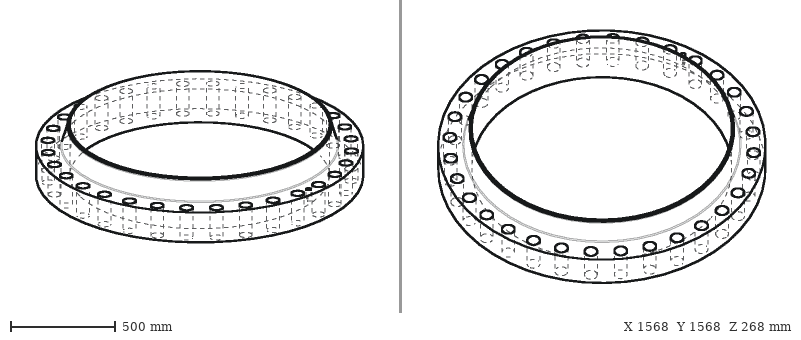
import cadquery as cq
import math

flange_diameter = 1568.0
flange_radius = flange_diameter / 2
flange_thickness = 157.0
total_height = 268.0
bore_radius = 622.0

hub_base_radius = 662.0
hub_top_radius = 633.0
rim_width = 3.0
bevel_height = 5.0
collar_height = 10.0
hub_fillet_radius = 6.0

bolt_count = 32
bolt_circle_radius = 729.0
bolt_hole_diameter = 61.0

small_hole_diameter = 24.0
small_hole_depth = 47.0
pilot_diameter = 13.0
pilot_depth = 63.0
small_hole_step = 0.5


def on_bolt_circle(steps):
    """Point on the bolt circle, counted in bolt spacings from +X."""
    angle = 2 * math.pi * steps / bolt_count
    return bolt_circle_radius * math.cos(angle), bolt_circle_radius * math.sin(angle)


def make_body():
    """Revolve the flange and hub section about Z."""
    section = (
        cq.Workplane("XZ")
        .moveTo(bore_radius, 0)
        .lineTo(flange_radius, 0)
        .lineTo(flange_radius, flange_thickness)
        .lineTo(hub_base_radius, flange_thickness)
        .lineTo(hub_top_radius, total_height - bevel_height - collar_height)
        .lineTo(hub_top_radius, total_height - bevel_height)
        .lineTo(bore_radius + rim_width, total_height)
        .lineTo(bore_radius, total_height)
        .close()
    )
    return section.revolve(360, (0, 0, 0), (0, 1, 0))


def fillet_hub_base(body):
    """Round the inner corner where the hub meets the flange face."""
    face_edges = body.faces("|Z").edges(cq.selectors.CenterNthSelector(cq.Vector(0, 0, 1), 1))
    corner = face_edges.edges(cq.selectors.RadiusNthSelector(0))
    return corner.fillet(hub_fillet_radius)


def make_holes(points, diameter, depth):
    """Cylinders that go down from the flange face at the given points."""
    face = cq.Workplane("XY").workplane(offset=flange_thickness)
    return face.pushPoints(points).circle(diameter / 2).extrude(-depth)


bolt_points = [on_bolt_circle(step) for step in range(bolt_count)]
small_hole_point = on_bolt_circle(small_hole_step)

result = (
    fillet_hub_base(make_body())
    .cut(make_holes(bolt_points, bolt_hole_diameter, flange_thickness))
    .cut(make_holes([small_hole_point], small_hole_diameter, small_hole_depth))
    .cut(make_holes([small_hole_point], pilot_diameter, pilot_depth))
)